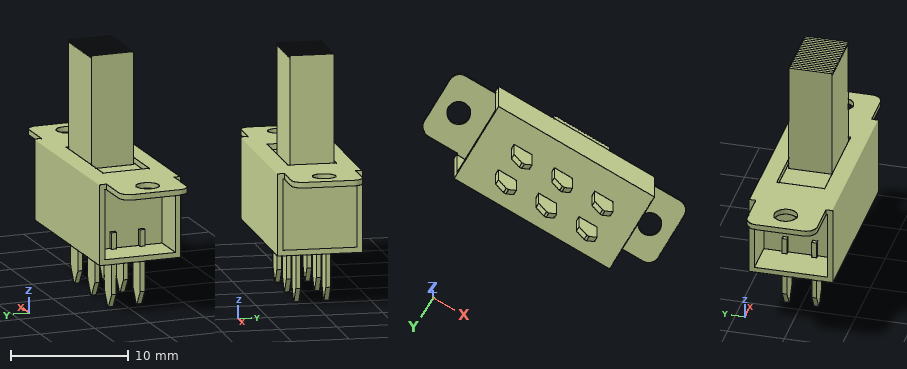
import cadquery as cq

housing_length = 15.5
housing_width = 7.4
housing_height = 7.18
wall = 0.5
top_edge_radius = 0.1

plate_length = 23.3
plate_width = 6.2
plate_corner_radius = 1.0
mounting_hole_diameter = 2.0
mounting_hole_spacing = 19.0

window_length = 8.78
window_width = 4.22

pins_per_row = 3
pin_rows = 2
pin_pitch = 4.0
pin_row_spacing = 2.6
pin_width = 1.8
pin_thickness = 0.45
pin_drop = 4.82
pin_point_height = 1.3
pin_tip_width = 0.23
pin_rise_above_floor = 1.47

handle_length = 5.5
handle_width = 3.85
handle_height = 9.5
tooth_count = 19
tooth_depth = 0.2
end_clearance = 0.05

cavity_width = housing_width - 2 * wall
cavity_height = housing_height - 2 * wall
cavity_top = housing_height - wall

handle_x = (window_length - handle_length) / 2 - end_clearance
base_length = 2 * (housing_length / 2 - handle_x)


def box_from(bottom_z, length, width, height):
    """Box centred on the Z axis, standing on the level bottom_z."""
    return cq.Workplane("XY", origin=(0, 0, bottom_z)).box(
        length, width, height, centered=(True, True, False)
    )


def make_pin(x, y):
    """Flat terminal with a pointed lower end."""
    half_width = pin_width / 2
    half_tip = pin_tip_width / 2
    top_z = wall + pin_rise_above_floor
    point_z = pin_point_height - pin_drop
    outline = [
        (-half_width, top_z),
        (half_width, top_z),
        (half_width, point_z),
        (half_tip, -pin_drop),
        (-half_tip, -pin_drop),
        (-half_width, point_z),
    ]
    pin = cq.Workplane("XZ").polyline(outline).close().extrude(pin_thickness / 2, both=True)
    return pin.translate((x, y, 0))


def make_pins():
    """All the terminals, in rows along X."""
    pins = []
    for column in range(pins_per_row):
        for row in range(pin_rows):
            x = (column - (pins_per_row - 1) / 2) * pin_pitch
            y = (row - (pin_rows - 1) / 2) * pin_row_spacing
            pins.append(make_pin(x, y))
    return pins


def make_plate():
    """Rounded plate level with the top wall; its ends form the mounting tabs."""
    plate = box_from(cavity_top, plate_length, plate_width, wall)
    return plate.edges("|Z").fillet(plate_corner_radius)


def make_housing(pins):
    """Open-ended box with its mounting plate, window and fixed pins."""
    shell = box_from(0, housing_length, housing_width, housing_height)
    shell = shell.faces(">Z").edges("|X").fillet(top_edge_radius)
    cavity = box_from(wall, housing_length, cavity_width, cavity_height)
    window = box_from(cavity_top, window_length, window_width, wall)
    mounting_holes = (
        cq.Workplane("XY", origin=(0, 0, cavity_top))
        .rarray(mounting_hole_spacing, 0.23, 2, 1)
        .circle(mounting_hole_diameter / 2)
        .extrude(wall)
    )
    housing = shell.cut(cavity).union(make_plate()).cut(window).cut(mounting_holes)
    for pin in pins:
        housing = housing.union(pin)
    return housing


def make_handle():
    """Tall block with V grooves across its top for grip."""
    top_z = housing_height + handle_height
    left_x = -handle_length / 2
    tooth_pitch = handle_length / tooth_count
    outline = [(left_x, cavity_top), (left_x, top_z)]
    for tooth in range(tooth_count):
        groove_x = left_x + tooth * tooth_pitch + tooth_pitch / 2
        outline.append((groove_x, top_z - tooth_depth))
        outline.append((groove_x + tooth_pitch / 2, top_z))
    outline.append((-left_x, cavity_top))
    return cq.Workplane("XZ").polyline(outline).close().extrude(handle_width / 2, both=True)


def make_slider(pins):
    """Base and handle, with a matching recess for every pin that rises into the base."""
    base = box_from(wall, base_length, cavity_width, cavity_height)
    slider = base.union(make_handle()).translate((handle_x, 0, 0))
    for pin in pins:
        slider = slider.cut(pin)
    return slider


terminal_pins = make_pins()
housing = make_housing(terminal_pins)
slider = make_slider(terminal_pins)

result = cq.Compound.makeCompound([housing.val(), slider.val()])